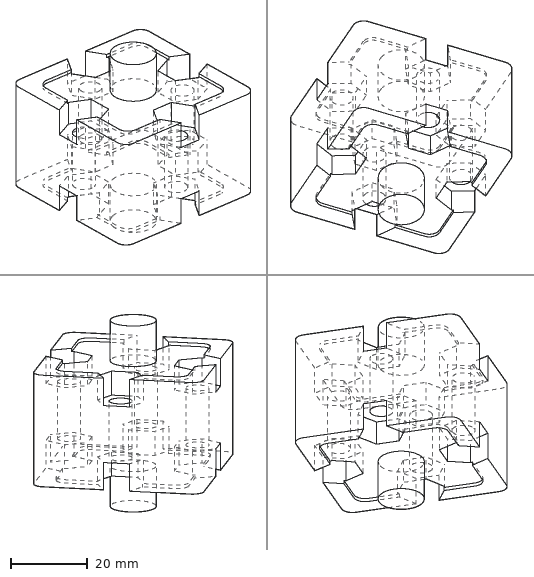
import cadquery as cq

block_width = 45
block_height = 30
corner_radius = 3

shaft_length = 50
shaft_diameter = 12

recess_width = 35
recess_depth = 0.9
recess_corner_radius = 3

bolt_offset = 17
bolt_diameter = 6

pocket_depth = 7.35
pocket_reach = block_width / 2 - bolt_offset
pocket_x_flat = 6.2
pocket_x_span = 12.8
pocket_y_flat = 6.9
pocket_y_span = 12.2


def rounded_block(width, height, radius):
    """Square block centred on the origin, with rounded upright edges."""
    return cq.Workplane("XY").box(width, width, height).edges("|Z").fillet(radius)


def cylinder(diameter, length):
    """Upright cylinder centred on the origin."""
    return cq.Workplane("XY").circle(diameter / 2).extrude(length / 2, both=True)


def nut_pocket(flat, span):
    """Pocket prism for the +X side, with its top at the top face of the block."""
    inner = bolt_offset - pocket_reach
    outer = bolt_offset + pocket_reach
    corners = [
        (inner, -flat / 2),
        (bolt_offset, -span / 2),
        (outer, -flat / 2),
        (outer, flat / 2),
        (bolt_offset, span / 2),
        (inner, flat / 2),
    ]
    floor = block_height / 2 - pocket_depth
    return cq.Workplane("XY").workplane(offset=floor).polyline(corners).close().extrude(pocket_depth)


def cut_both_ends(body, cutter):
    """Cut the same shape into the top and the bottom of the body."""
    return body.cut(cutter).cut(cutter.mirror("XY"))


body = rounded_block(block_width, block_height, corner_radius)

recess = rounded_block(recess_width, recess_depth, recess_corner_radius)
body = cut_both_ends(body, recess.translate((0, 0, (block_height - recess_depth) / 2)))

bolt_hole = cylinder(bolt_diameter, block_height).translate((bolt_offset, 0, 0))
pocket_on_x = nut_pocket(pocket_x_flat, pocket_x_span)
pocket_on_y = nut_pocket(pocket_y_flat, pocket_y_span)
for side, pocket in enumerate([pocket_on_x, pocket_on_y, pocket_on_x, pocket_on_y]):
    angle = 90 * side
    body = cut_both_ends(body, pocket.rotate((0, 0, 0), (0, 0, 1), angle))
    body = body.cut(bolt_hole.rotate((0, 0, 0), (0, 0, 1), angle))

result = body.union(cylinder(shaft_diameter, shaft_length))